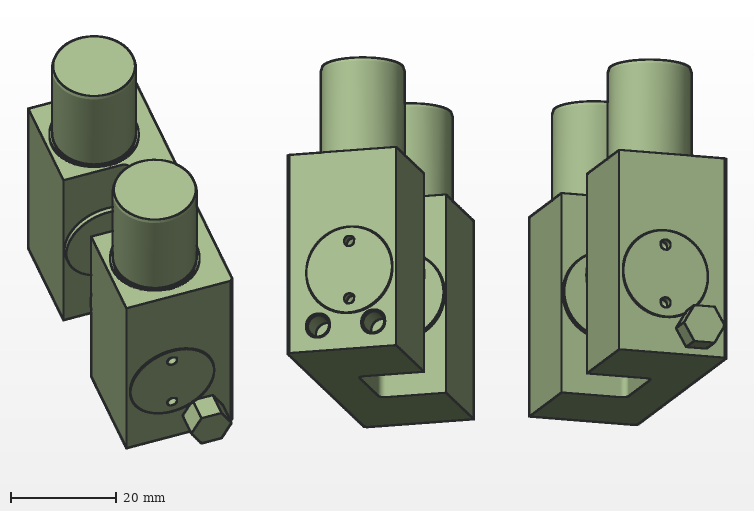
import cadquery as cq
import math

overall_length = 60.1
overall_height = 58.0

housing_length = 55.0
housing_depth = 21.5
housing_height = 39.0
back_chamfer = 0.5

slot_width = 15.5
slot_back_wall = 8.55
slot_fillet = 1.2

boss_diameter = 17.0
boss_height = 1.1
boss_y = 8.7
boss_z = 19.55

cap_diameter = 17.0
cap_bevel = 0.09
cap_protrusion = 0.2
cap_y = 9.2
cap_z = 15.5
spanner_hole_diameter = 2.0
spanner_hole_spacing = 11.3
spanner_hole_depth = 2.1
drill_point_angle = 118.0

port_diameter = 4.15
port_chamfer = 0.3
port_depth = 6.0
port_z = 5.0
front_port_y = 4.5
back_port_y = 15.4

rod_diameter = 16.0
rod_spacing = 34.0
rod_y = 9.5
rod_chamfer_height = 0.8
rod_chamfer_width = 0.25
rod_neck_diameter = 15.8
rod_neck_rise = 0.1
recess_diameter = 17.0
recess_depth = 0.25

hex_across_flats = 7.05
hex_length = overall_length - cap_protrusion - housing_length

end_x = housing_length / 2
rod_places = [-rod_spacing / 2, rod_spacing / 2]


def disc_along_x(diameter, start_x, length, y, z):
    """Cylinder from start_x toward +X, or toward -X for a negative length."""
    return cq.Workplane("YZ", origin=(start_x, y, z)).circle(diameter / 2).extrude(length)


def make_block():
    block = cq.Workplane("XY").box(
        housing_length, housing_depth, housing_height, centered=(True, False, False)
    )
    block = block.faces(">Y").edges("|Z").chamfer(back_chamfer)
    slot_depth = housing_depth - slot_back_wall
    slot = cq.Workplane("XY").box(slot_width, slot_depth, housing_height, centered=(True, False, False))
    slot = slot.faces(">Y").edges("|Z").fillet(slot_fillet)
    return block.cut(slot)


def add_slot_bosses(body):
    for side in (-1, 1):
        wall_x = side * slot_width / 2
        body = body.union(disc_along_x(boss_diameter, wall_x, -side * boss_height, boss_y, boss_z))
    return body


def spanner_hole(side, z):
    """Blind drilled hole with a conical bottom, bored inward from a cap face."""
    radius = spanner_hole_diameter / 2
    point_length = radius / math.tan(math.radians(drill_point_angle / 2))
    mouth_x = side * (end_x + cap_protrusion)
    shoulder_x = mouth_x - side * spanner_hole_depth
    profile = (
        cq.Workplane("XZ", origin=(0, cap_y, z))
        .moveTo(mouth_x, 0)
        .lineTo(mouth_x, radius)
        .lineTo(shoulder_x, radius)
        .lineTo(shoulder_x - side * point_length, 0)
        .close()
    )
    return profile.revolve(360, (0, 0, 0), (1, 0, 0))


def add_end_caps(body):
    for side in (-1, 1):
        cap = disc_along_x(cap_diameter, side * end_x, side * cap_protrusion, cap_y, cap_z)
        outer_face = ">X" if side > 0 else "<X"
        body = body.union(cap.faces(outer_face).chamfer(cap_bevel))
        for offset in (-spanner_hole_spacing / 2, spanner_hole_spacing / 2):
            body = body.cut(spanner_hole(side, cap_z + offset))
    return body


def port_mouth(port_y):
    """Cone that chamfers the rim of a port."""
    mouth = cq.Solid.makeCone(
        port_diameter / 2 + port_chamfer,
        port_diameter / 2,
        port_chamfer,
        cq.Vector(-end_x, port_y, port_z),
        cq.Vector(1, 0, 0),
    )
    return cq.Workplane(mouth)


def cut_ports(body):
    for port_y in (front_port_y, back_port_y):
        body = body.cut(disc_along_x(port_diameter, -end_x, port_depth, port_y, port_z))
        body = body.cut(port_mouth(port_y))
    return body


def cut_rod_recesses(body):
    for rod_x in rod_places:
        recess = cq.Workplane("XY", origin=(rod_x, rod_y, housing_height - recess_depth))
        body = body.cut(recess.circle(recess_diameter / 2).extrude(recess_depth))
    return body


def make_housing():
    body = add_slot_bosses(make_block())
    body = add_end_caps(body)
    body = cut_ports(body)
    return cut_rod_recesses(body)


def make_rod(rod_x):
    """Rod with a slightly thinner neck that stands on the recess floor."""
    neck_length = recess_depth + rod_neck_rise
    shaft_length = overall_height - housing_height - rod_neck_rise
    neck_base = cq.Workplane("XY", origin=(rod_x, rod_y, housing_height - recess_depth))
    neck = neck_base.circle(rod_neck_diameter / 2).extrude(neck_length)
    shaft = neck_base.workplane(offset=neck_length).circle(rod_diameter / 2).extrude(shaft_length)
    shaft = shaft.faces(">Z").chamfer(rod_chamfer_height, rod_chamfer_width)
    return shaft.union(neck)


def make_hex_plug(housing):
    """Hexagonal plug with flats up and down, relieved where it meets the end cap."""
    across_corners = hex_across_flats / math.cos(math.radians(30))
    plug_base = cq.Workplane("YZ", origin=(end_x, back_port_y, port_z))
    return plug_base.polygon(6, across_corners).extrude(hex_length).cut(housing)


housing = make_housing()
rods = [make_rod(rod_x) for rod_x in rod_places]
hex_plug = make_hex_plug(housing)

result = cq.Compound.makeCompound([housing.val(), *[rod.val() for rod in rods], hex_plug.val()])